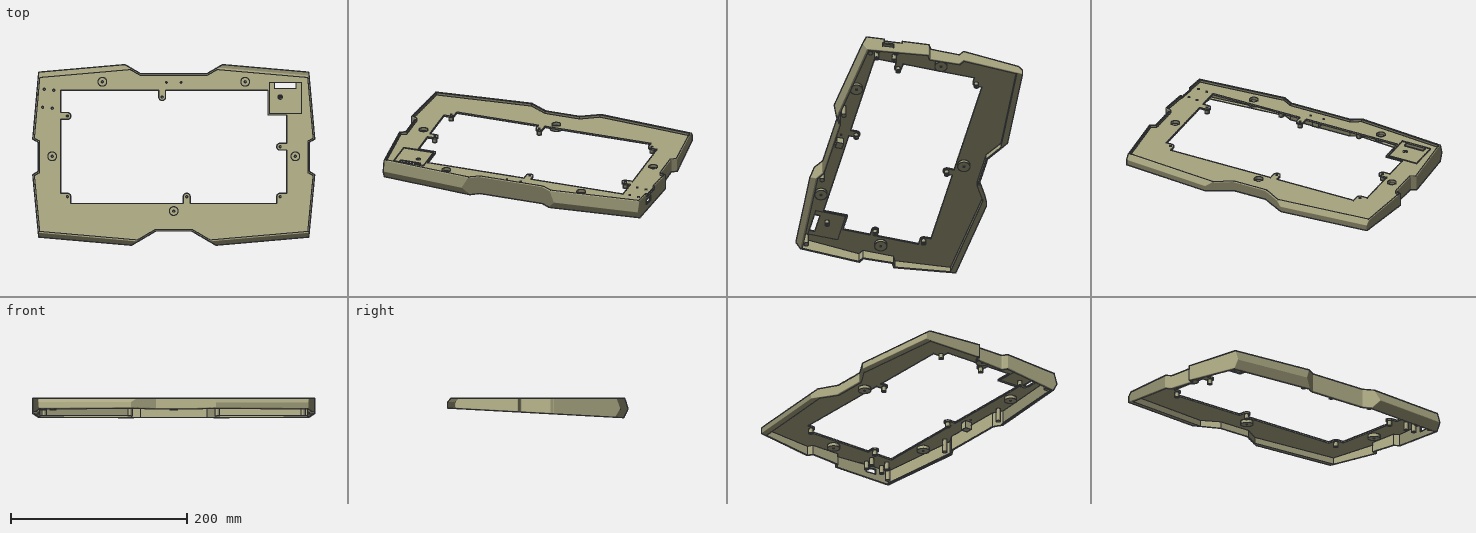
import cadquery as cq
import math

LENGTH = 320.0
WIDTH = 205.0
HEIGHT = 22.5
HALF_LENGTH = LENGTH / 2
HALF_WIDTH = WIDTH / 2

ROUNDING_LOSS_X = 0.048
ROUNDING_LOSS_Y = 0.05
SHARP_HALF_LENGTH = HALF_LENGTH + ROUNDING_LOSS_X
SHARP_HALF_WIDTH = HALF_WIDTH + ROUNDING_LOSS_Y

EDGE_ANGLE = 5.0
EDGE_SLOPE = math.tan(math.radians(EDGE_ANGLE))
BACK_TIP_X = 55.7
BACK_NOTCH_X = 37.5
BACK_NOTCH_Y = 92.0
FRONT_TIP_X = 48.0
FRONT_NOTCH_X = 20.0
FRONT_NOTCH_Y = -86.5
CORNER_X = 153.2
SIDE_NOTCH_X = 154.0
SIDE_NOTCH_BACK_Y = 14.5
SIDE_NOTCH_FRONT_Y = -19.0
SIDE_NOTCH_RUN = 3.5

WALL = 2.0
EDGE_RADIUS = 1.0
BACK_RIDGE_DEPTH = 12.5
BACK_TOP_SETBACK = 4.5
BACK_BOTTOM_SETBACK = 5.8
FRONT_CHAMFER = 4.8
FRONT_HEIGHT = 11.5
BOTTOM_SLOPE = (HEIGHT - FRONT_HEIGHT) / (WIDTH - BACK_BOTTOM_SETBACK)

PLATE_TOP = -3.0
PLATE_THICKNESS = 2.0
PLATE_BOTTOM = PLATE_TOP - PLATE_THICKNESS
WINDOW_HALF_LENGTH = 128.0
WINDOW_BACK_Y = 73.3
WINDOW_FRONT_Y = -55.0

TAB_WIDTH = 8.0
TAB_RADIUS = TAB_WIDTH / 2
MOUNT_X = 120.5
MOUNT_BACK_Y = 65.5
MOUNT_FRONT_Y = -47.5
BACK_TAB_X = -13.0
FRONT_TAB_X = 14.7
LEFT_TAB_Y = 44.0
RIGHT_TAB_Y = 9.3
POST_DIAMETER = 5.0
MOUNT_POST_LENGTH = 5.5
HOLE_DIAMETER = 2.0

SCREW_POINTS = [(-81.0, 83.0), (81.0, 83.0), (-138.0, -1.5), (138.0, -1.5), (0, -63.5)]
COUNTERBORE_DIAMETER = 10.0
COUNTERBORE_DEPTH = 3.8
SCREW_BOSS_DIAMETER = 14.0

PIN_HOLE_DIAMETER = 1.57
PIN_HOLE_X = 8.3
PIN_HOLE_Y = 82.2

LUG_SIZE = 8.0
LUG_FRONT_Y = 78.0
LUG_BOTTOM = -13.8

BOARD_CENTER = (-142.5, 63.5)
BOARD_HOLE_SPACING = (11.0, 20.5)
BOARD_POST_BOTTOM = -13.8

PORT_Y = 64.5
PORT_LENGTH = 12.8
PORT_TOP = -7.0
PORT_HEIGHT = 6.0
RIM_GAP_Y = 59.0
RIM_GAP_LENGTH = 20.5
RIM_GAP_DEPTH = 3.8
WALL_CUT_REACH = 8.0

CORNER_PAD_X = 107.0
CORNER_PAD_Y = 45.0
POCKET_LEFT, POCKET_RIGHT = 108.8, 144.5
POCKET_FRONT, POCKET_BACK = 47.0, 82.0
POCKET_DEPTH = 1.0
POCKET_SLOT_X = 126.5
POCKET_SLOT_LENGTH = 24.0
POCKET_SLOT_WIDTH = 6.5

COVER_POST_POINTS = [(146.8, 83.2), (49.5, 89.5)]
COVER_POST_GAP = 2.0

MARGIN = 32.0

back_corner = (-CORNER_X, SHARP_HALF_WIDTH - (CORNER_X - BACK_TIP_X) * EDGE_SLOPE)
front_corner = (-CORNER_X, -SHARP_HALF_WIDTH + (CORNER_X - FRONT_TIP_X) * EDGE_SLOPE)
back_tip = (-BACK_TIP_X, SHARP_HALF_WIDTH)
front_tip = (-FRONT_TIP_X, -SHARP_HALF_WIDTH)


def bottom_z(y):
    """Level of the sloping bottom plane at a given Y."""
    return -FRONT_HEIGHT - BOTTOM_SLOPE * (y + HALF_WIDTH)


def block(x_range, y_range, z_range):
    sizes = [high - low for low, high in (x_range, y_range, z_range)]
    corner = (x_range[0], y_range[0], z_range[0])
    return cq.Workplane("XY").box(*sizes, centered=False).translate(corner)


def cylinders(points, diameter, top, bottom):
    return (cq.Workplane("XY").workplane(offset=bottom).pushPoints(points)
            .circle(diameter / 2).extrude(top - bottom))


def outline_prism(inset):
    """Vertical prism over the plan outline, moved inward by inset."""
    left = [
        (-BACK_NOTCH_X, BACK_NOTCH_Y),
        back_tip,
        back_corner,
        (-SHARP_HALF_LENGTH, SIDE_NOTCH_BACK_Y + SIDE_NOTCH_RUN),
        (-SIDE_NOTCH_X, SIDE_NOTCH_BACK_Y),
        (-SIDE_NOTCH_X, SIDE_NOTCH_FRONT_Y),
        (-SHARP_HALF_LENGTH, SIDE_NOTCH_FRONT_Y - SIDE_NOTCH_RUN),
        front_corner,
        front_tip,
        (-FRONT_NOTCH_X, FRONT_NOTCH_Y),
    ]
    right = [(-x, y) for x, y in reversed(left)]
    sketch = cq.Workplane("XY").polyline(left + right).close()
    if inset:
        sketch = sketch.offset2D(-inset, "intersection")
    return sketch.extrude(-HEIGHT)


def edge_cutter(start, end, profile):
    """Prism along an outline edge and its mirror image; profile is (outward, Z)."""
    dx, dy = end[0] - start[0], end[1] - start[1]
    plane = cq.Plane(origin=(*start, 0), xDir=(-dy, dx, 0), normal=(dx, dy, 0))
    cutter = (cq.Workplane(plane).workplane(offset=-MARGIN).polyline(profile).close()
              .extrude(math.hypot(dx, dy) + 2 * MARGIN))
    return cutter.union(cutter.mirror("YZ"))


def back_lower_profile(inset):
    """Everything outside the lower back face, which leans inward toward the bottom."""
    lean = BACK_BOTTOM_SETBACK / (HEIGHT - BACK_RIDGE_DEPTH)
    inset_across = inset * math.hypot(1, lean)
    return [
        (-inset_across, -BACK_RIDGE_DEPTH),
        (-inset_across - BACK_BOTTOM_SETBACK, -HEIGHT),
        (MARGIN, -HEIGHT),
        (MARGIN, -BACK_RIDGE_DEPTH),
    ]


def below_bottom():
    """Space under the sloping bottom plane."""
    y_front, y_back = -HALF_WIDTH - MARGIN, HALF_WIDTH + MARGIN
    profile = [(y_front, bottom_z(y_front)), (y_back, bottom_z(y_back)),
               (y_back, -HEIGHT - MARGIN), (y_front, -HEIGHT - MARGIN)]
    return cq.Workplane("YZ").polyline(profile).close().extrude(HALF_LENGTH + MARGIN, both=True)


def outer_body():
    """Solid case with sloping bottom and all edges rounded."""
    back_upper = [
        (0, -BACK_RIDGE_DEPTH),
        (-BACK_TOP_SETBACK, 0),
        (MARGIN, 0),
        (MARGIN, -BACK_RIDGE_DEPTH),
    ]
    front_upper = [
        (0, -FRONT_CHAMFER),
        (-FRONT_CHAMFER, 0),
        (MARGIN, 0),
        (MARGIN, -FRONT_CHAMFER),
    ]
    return (outline_prism(0)
            .cut(edge_cutter(back_corner, back_tip, back_upper))
            .cut(edge_cutter(back_corner, back_tip, back_lower_profile(0)))
            .cut(edge_cutter(front_tip, front_corner, front_upper))
            .cut(below_bottom())
            .edges().fillet(EDGE_RADIUS))


def cavity():
    """Vertical inner space, one wall inside the rim and the lower back face."""
    def upright(depth):
        return [(-depth, 0), (-depth, -HEIGHT), (MARGIN, -HEIGHT), (MARGIN, 0)]
    return (outline_prism(WALL)
            .cut(edge_cutter(back_corner, back_tip, upright(BACK_TOP_SETBACK + WALL)))
            .cut(edge_cutter(back_corner, back_tip, back_lower_profile(WALL)))
            .cut(edge_cutter(front_tip, front_corner, upright(FRONT_CHAMFER + WALL))))


def plate(inner):
    """Slab filling the inner space, with the window cut out except at the corner pad."""
    slab = inner.intersect(block((-HALF_LENGTH, HALF_LENGTH), (-HALF_WIDTH, HALF_WIDTH),
                                 (PLATE_BOTTOM, PLATE_TOP)))
    window = block((-WINDOW_HALF_LENGTH, WINDOW_HALF_LENGTH), (WINDOW_FRONT_Y, WINDOW_BACK_Y),
                   (PLATE_BOTTOM, PLATE_TOP))
    corner_pad = block((CORNER_PAD_X, WINDOW_HALF_LENGTH), (CORNER_PAD_Y, WINDOW_BACK_Y),
                       (PLATE_BOTTOM, PLATE_TOP))
    return slab.cut(window).union(corner_pad)


def tab(mount, x_range, y_range):
    """Arm reaching in from the window edge, rounded around the mount point."""
    arm = block(x_range, y_range, (PLATE_BOTTOM, PLATE_TOP))
    return arm.union(cylinders([mount], TAB_WIDTH, PLATE_TOP, PLATE_BOTTOM))


def across(center):
    """Range of one tab width around a center."""
    return (center - TAB_RADIUS, center + TAB_RADIUS)


def corner_tab(side):
    """Corner fill at the front of the window with its inner corner rounded; side is -1 or 1."""
    x_range = sorted((side * (MOUNT_X - TAB_RADIUS), side * WINDOW_HALF_LENGTH))
    inner_edge = "|Z and >Y and " + ("<X" if side > 0 else ">X")
    return block(x_range, (WINDOW_FRONT_Y, MOUNT_FRONT_Y + TAB_RADIUS),
                 (PLATE_BOTTOM, PLATE_TOP)).edges(inner_edge).fillet(TAB_RADIUS)


back_mount = (BACK_TAB_X, MOUNT_BACK_Y)
front_mount = (FRONT_TAB_X, MOUNT_FRONT_Y)
left_mount = (-MOUNT_X, LEFT_TAB_Y)
right_mount = (MOUNT_X, RIGHT_TAB_Y)
tabs = [
    tab(back_mount, across(BACK_TAB_X), (MOUNT_BACK_Y, WINDOW_BACK_Y)),
    tab(front_mount, across(FRONT_TAB_X), (WINDOW_FRONT_Y, MOUNT_FRONT_Y)),
    tab(left_mount, (-WINDOW_HALF_LENGTH, -MOUNT_X), across(LEFT_TAB_Y)),
    tab(right_mount, (MOUNT_X, WINDOW_HALF_LENGTH), across(RIGHT_TAB_Y)),
    corner_tab(-1),
    corner_tab(1),
]
mount_points = [back_mount, front_mount, left_mount, right_mount,
                (-MOUNT_X, MOUNT_FRONT_Y), (MOUNT_X, MOUNT_FRONT_Y), (MOUNT_X, MOUNT_BACK_Y)]

board_turn = math.radians(-EDGE_ANGLE)
board_points = []
for along in (-BOARD_HOLE_SPACING[0] / 2, BOARD_HOLE_SPACING[0] / 2):
    for up in (-BOARD_HOLE_SPACING[1] / 2, BOARD_HOLE_SPACING[1] / 2):
        hole_x = BOARD_CENTER[0] + along * math.cos(board_turn) - up * math.sin(board_turn)
        hole_y = BOARD_CENTER[1] + along * math.sin(board_turn) + up * math.cos(board_turn)
        board_points.append((hole_x, hole_y))

inner_space = cavity()
result = outer_body().cut(inner_space).union(plate(inner_space))

for mount_tab in tabs:
    result = result.union(mount_tab)
mount_post_bottom = PLATE_BOTTOM - MOUNT_POST_LENGTH
screw_floor = PLATE_TOP - COUNTERBORE_DEPTH
screw_boss_bottom = screw_floor - PLATE_THICKNESS
result = result.union(cylinders(mount_points, POST_DIAMETER, PLATE_BOTTOM, mount_post_bottom))
result = result.union(cylinders(board_points, POST_DIAMETER, PLATE_BOTTOM, BOARD_POST_BOTTOM))
result = result.union(cylinders(SCREW_POINTS, SCREW_BOSS_DIAMETER, PLATE_BOTTOM, screw_boss_bottom))
result = result.union(block((-LUG_SIZE / 2, LUG_SIZE / 2), (LUG_FRONT_Y, LUG_FRONT_Y + LUG_SIZE),
                            (LUG_BOTTOM, PLATE_BOTTOM)))
for post_x, post_y in COVER_POST_POINTS:
    post_pair = [(-post_x, post_y), (post_x, post_y)]
    result = result.union(
        cylinders(post_pair, POST_DIAMETER, PLATE_BOTTOM, bottom_z(post_y) + COVER_POST_GAP))

through_points = mount_points + board_points + SCREW_POINTS
pin_hole_points = [(-PIN_HOLE_X, PIN_HOLE_Y), (PIN_HOLE_X, PIN_HOLE_Y)]
result = result.cut(cylinders(SCREW_POINTS, COUNTERBORE_DIAMETER, PLATE_TOP, screw_floor))
result = result.cut(cylinders(through_points, HOLE_DIAMETER, PLATE_TOP, -HEIGHT))
result = result.cut(cylinders(pin_hole_points, PIN_HOLE_DIAMETER, PLATE_TOP, PLATE_BOTTOM))

slot_x_range = (POCKET_SLOT_X - POCKET_SLOT_LENGTH / 2, POCKET_SLOT_X + POCKET_SLOT_LENGTH / 2)
result = result.cut(block((POCKET_LEFT, POCKET_RIGHT), (POCKET_FRONT, POCKET_BACK),
                          (PLATE_TOP - POCKET_DEPTH, PLATE_TOP)))
result = result.cut(block(slot_x_range, (POCKET_BACK - POCKET_SLOT_WIDTH, POCKET_BACK),
                          (PLATE_BOTTOM, PLATE_TOP)))

wall_x_range = (-HALF_LENGTH, -HALF_LENGTH + WALL_CUT_REACH)
result = result.cut(block(wall_x_range, (PORT_Y - PORT_LENGTH / 2, PORT_Y + PORT_LENGTH / 2),
                          (PORT_TOP - PORT_HEIGHT, PORT_TOP)))
rim_gap = block(wall_x_range, (RIM_GAP_Y - RIM_GAP_LENGTH / 2, RIM_GAP_Y + RIM_GAP_LENGTH / 2),
                (-RIM_GAP_DEPTH, 0))
result = result.cut(rim_gap.cut(inner_space))